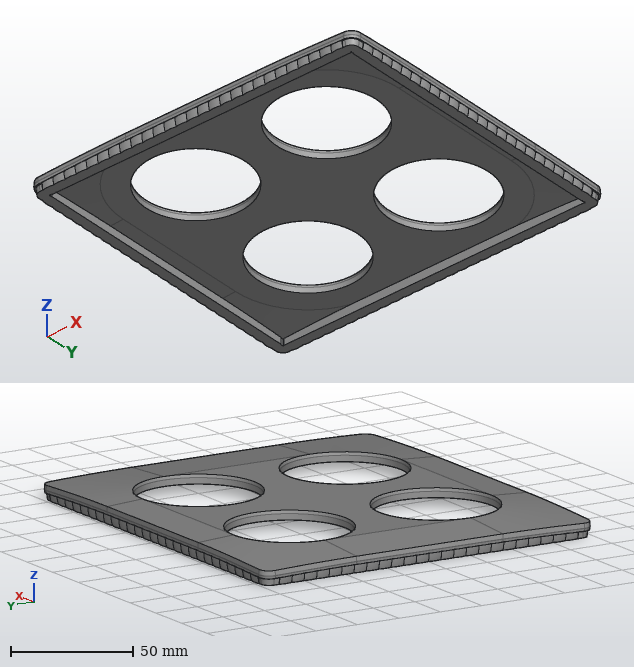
import cadquery as cq

LENGTH = 175.0
WIDTH = 159.0
HEIGHT = 8.7
CORNER_RADIUS = 5.0

HOLE_RADIUS = 26.7
HOLE_PITCH = 70.6
HOLE_FLARE = 0.3
HOLE_FLARE_DEPTH = 1.4
MOUTH_RADIUS = HOLE_RADIUS + HOLE_FLARE

SLOPE_ANGLE = 3.3
UPPER_BAND = 2.1
LOWER_BAND = 1.4
PLATE_THICKNESS = UPPER_BAND + LOWER_BAND
BAND_LEAN = 0.2
SEAM_FLAT = 0.05

SKIRT_TOP = 5.4
POCKET_DEPTH = 4.5
SKIRT_INSET = 0.6
SKIRT_WIDTH = 6.0
SKIRT_TAPER = 7.0
BUMP_PITCH = 6.0
BUMP_RADIUS = 12.0
BUMP_EQUATOR = 4.0
BUMP_INSET = 0.2
BUMPS_ALONG_LENGTH = 27
BUMPS_ALONG_WIDTH = 24

LEVEL_TOLERANCE = 0.01


def outline_block(inset, top, taper=0.0):
    """Rounded rectangle, inset from the plate outline at its top, reaching down to Z = 0."""
    return (
        cq.Workplane("XY", origin=(0, 0, top))
        .sketch()
        .rect(LENGTH - 2 * inset, WIDTH - 2 * inset)
        .vertices()
        .fillet(CORNER_RADIUS - inset)
        .finalize()
        .extrude(-top, taper=taper)
    )


def crown(depth):
    """Oversize block whose upper surface is the plate's top surface lowered by depth."""
    flat_side = HOLE_PITCH + 2 * MOUTH_RADIUS
    return (
        cq.Workplane("XY", origin=(0, 0, HEIGHT - depth))
        .sketch()
        .rect(flat_side, flat_side)
        .vertices()
        .fillet(MOUTH_RADIUS)
        .finalize()
        .extrude(-HEIGHT, taper=-(90 - SLOPE_ANGLE))
    )


def lean_band(plate, height, upper):
    """Slant the upper or lower band of the outer walls, following the crown."""
    edges = []
    for wall in plate.faces().vals():
        if abs(wall.normalAt().z) > LEVEL_TOLERANCE:
            continue
        for edge in wall.Edges():
            is_vertical = abs(edge.tangentAt(0.5).z) > 1 - LEVEL_TOLERANCE
            is_upper = edge.Center().z > wall.Center().z
            if not is_vertical and is_upper == upper:
                edges.append(edge)
    return plate.newObject(edges).chamfer(height, BAND_LEAN)


def crowned_plate():
    plate = outline_block(0, HEIGHT).intersect(crown(0)).cut(crown(PLATE_THICKNESS))
    plate = lean_band(plate, UPPER_BAND, upper=True)
    return lean_band(plate, LOWER_BAND - SEAM_FLAT, upper=False)


def hole_tools():
    """Cutters for the openings, flared at the top."""
    profile = [
        (0, 0),
        (HOLE_RADIUS, 0),
        (HOLE_RADIUS, HEIGHT - HOLE_FLARE_DEPTH),
        (MOUTH_RADIUS, HEIGHT),
        (0, HEIGHT),
    ]
    tool = cq.Workplane("XZ").polyline(profile).close().revolve(360, (0, 0), (0, 1)).val()
    centers = cq.Workplane("XY").rect(HOLE_PITCH, HOLE_PITCH, forConstruction=True).vertices()
    return centers.eachpoint(tool)


def bump():
    """One bump with its front at the origin, toward -Y; it stands out most at its equator."""
    block = cq.Workplane("XY").box(BUMP_PITCH, SKIRT_WIDTH, SKIRT_TOP, centered=(True, False, False))
    ball = cq.Workplane("XY", origin=(0, BUMP_RADIUS, BUMP_EQUATOR)).sphere(BUMP_RADIUS)
    return block.intersect(ball).val()


def bump_row(count, distance, angle):
    """Touching bumps along one side: the front side turned by angle about Z."""
    single = bump()
    row = []
    for index in range(count):
        along = (index - (count - 1) / 2) * BUMP_PITCH
        placed = single.moved(cq.Location((along, -distance, 0)))
        row.append(placed.rotate((0, 0, 0), (0, 0, 1), angle))
    return row


def skirt():
    """Bumpy edge around a flat-floored pocket in the underside, kept below the plate's top surface."""
    pocket = cq.Workplane("XY").rect(LENGTH - 2 * SKIRT_WIDTH, WIDTH - 2 * SKIRT_WIDTH).extrude(POCKET_DEPTH)
    base = outline_block(SKIRT_INSET, SKIRT_TOP, SKIRT_TAPER).cut(pocket)
    bumps = []
    for angle in (0, 180):
        bumps += bump_row(BUMPS_ALONG_LENGTH, WIDTH / 2 - BUMP_INSET, angle)
    for angle in (90, 270):
        bumps += bump_row(BUMPS_ALONG_WIDTH, LENGTH / 2 - BUMP_INSET, angle)
    whole = base.newObject([base.val().fuse(*bumps)])
    return whole.intersect(crown(PLATE_THICKNESS / 2))


result = crowned_plate().union(skirt()).cut(hole_tools())